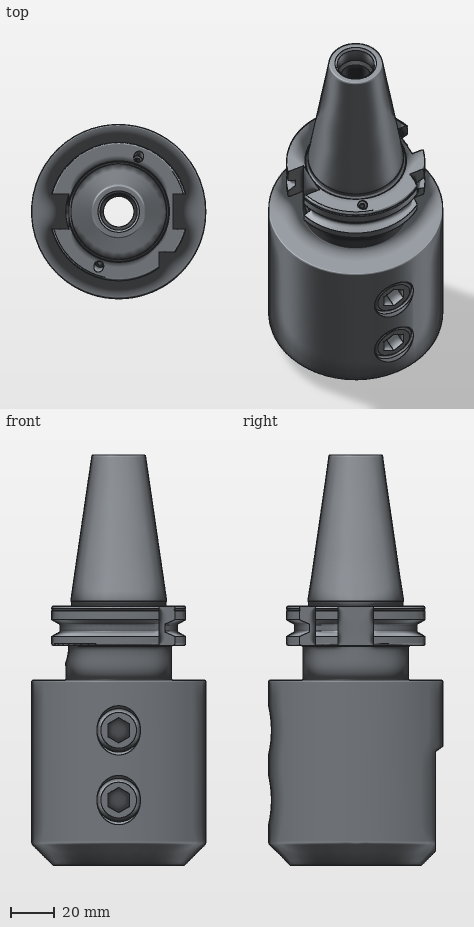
import cadquery as cq
import math

gauge_diameter = 44.45
taper_length = 68.4
taper_ratio = 7 / 24
taper_end_fillet = 1.0

undercut_top = 1.4
undercut_radial_depth = 0.3
undercut_axial_depth = 0.2
undercut_ramp = 0.4
undercut_fillet = 0.6
undercut_outer_diameter = 46.6

flange_diameter = 63.55
flange_top = -1.0
flange_bottom = -19.1
flange_fillet = 1.0
groove_diameter = 56.25
groove_center = -11.1
groove_floor_width = 3.5
groove_flank_angle = 60
groove_fillet = 0.6
ring_groove_top = -2.1
ring_groove_width = 1.2
ring_groove_depth = 0.3

keyway_width = 16.1
left_keyway_floor = 22.8
right_keyway_floor = 25.0
notch_x = 18.5
notch_y = 18.5

neck_diameter = 48.6
neck_fillet = 0.5
body_diameter = 80.0
body_top = -35.0
body_bottom = -120.0
body_edge_fillet = 0.8
nose_chamfer = 10.0
nose_edge_fillet = 2.0
nose_tip_fillet = 1.0

flat_distance = 36.6
flat_top = -67.7
flat_ramp_height = 2.5

bore_diameter = 14.0
counterbore_diameter = 17.0
counterbore_depth = 8.0
counterbore_chamfer = 1.0
counterbore_floor_angle = 45

screw_diameter = 20.0
screw_heights = (-58.0, -90.0)
screw_face = 38.5
screw_chamfer = 1.8
screw_hole_mouth_diameter = 22.6
screw_hex_flats = 10.0
screw_hex_depth = 8.0

port_diameter = 4.4
port_depth = 3.0
port_core_diameter = 2.2
port_core_depth = 6.0
port_circle_radius = 26.8
port_angle = 70
port_tilt = 33


def revolve_profile(points):
    """Solid of revolution about Z from (radius, height) points."""
    return cq.Workplane("XZ").polyline(points).close().revolve(360, (0, 0, 0), (0, 1, 0))


def cylinder(diameter, bottom, top):
    return cq.Workplane("XY").workplane(offset=bottom).circle(diameter / 2).extrude(top - bottom)


def ring_edges(solid, radius, height):
    """Circular edge of a turned solid, picked by radius and height."""
    tolerance = 0.01
    corner = (radius + tolerance, radius + tolerance, height + tolerance)
    opposite = (-radius - tolerance, -radius - tolerance, height - tolerance)
    candidates = solid.edges(cq.selectors.BoxSelector(corner, opposite, boundingbox=True))
    return candidates.filter(lambda edge: edge.geomType() == "CIRCLE" and abs(edge.radius() - radius) < tolerance)


def taper_radius(height):
    return (gauge_diameter - height * taper_ratio) / 2


def make_shank():
    shank = revolve_profile([
        (0, flange_top),
        (taper_radius(undercut_top), flange_top),
        (taper_radius(undercut_top), undercut_top),
        (taper_radius(taper_length), taper_length),
        (0, taper_length),
    ])
    return shank.faces(">Z").edges().fillet(taper_end_fillet)


def make_undercut():
    """Shallow ring cut into both the foot of the taper and the flange face."""
    root = taper_radius(undercut_top) - undercut_radial_depth
    floor = flange_top - undercut_axial_depth
    outer = undercut_outer_diameter / 2
    ring = revolve_profile([
        (taper_radius(undercut_top), undercut_top),
        (root, undercut_top - undercut_ramp),
        (root, floor),
        (outer - undercut_ramp, floor),
        (outer, flange_top),
        (outer, undercut_top),
    ])
    return ring_edges(ring, root, floor).fillet(undercut_fillet)


def make_flange():
    outer = flange_diameter / 2
    floor = groove_diameter / 2
    half_floor = groove_floor_width / 2
    half_mouth = half_floor + (outer - floor) / math.tan(math.radians(groove_flank_angle))
    flange = revolve_profile([
        (0, flange_bottom),
        (outer, flange_bottom),
        (outer, groove_center - half_mouth),
        (floor, groove_center - half_floor),
        (floor, groove_center + half_floor),
        (outer, groove_center + half_mouth),
        (outer, flange_top),
        (0, flange_top),
    ])
    for side in (-1, 1):
        flange = ring_edges(flange, floor, groove_center + side * half_floor).fillet(groove_fillet)
    for height in (flange_top, flange_bottom):
        flange = ring_edges(flange, outer, height).fillet(flange_fillet)
    return flange


def make_ring_groove():
    """Fine V-shaped ring groove around the rim, above the gripper groove."""
    outer = flange_diameter / 2
    return revolve_profile([
        (outer, ring_groove_top),
        (outer - ring_groove_depth, ring_groove_top - ring_groove_width / 2),
        (outer, ring_groove_top - ring_groove_width),
    ])


def make_neck():
    """Neck flared by small fillets into the flange above and the body below."""
    radius = neck_diameter / 2
    inset = neck_fillet * (1 - math.sqrt(0.5))
    profile = (
        cq.Workplane("XZ")
        .moveTo(0, body_top)
        .lineTo(radius + neck_fillet, body_top)
        .threePointArc((radius + inset, body_top + inset), (radius, body_top + neck_fillet))
        .lineTo(radius, flange_bottom - neck_fillet)
        .threePointArc((radius + inset, flange_bottom - inset), (radius + neck_fillet, flange_bottom))
        .lineTo(0, flange_bottom)
        .close()
    )
    return profile.revolve(360, (0, 0, 0), (0, 1, 0))


def make_body():
    outer = body_diameter / 2
    body = revolve_profile([
        (0, body_bottom),
        (outer - nose_chamfer, body_bottom),
        (outer, body_bottom + nose_chamfer),
        (outer, body_top),
        (0, body_top),
    ])
    body = ring_edges(body, outer, body_bottom + nose_chamfer).fillet(nose_edge_fillet)
    body = body.faces("<Z").edges().fillet(nose_tip_fillet)
    return body.faces(">Z").edges().fillet(body_edge_fillet)


def make_keyway(side, floor):
    """Round-bottomed drive slot; side is -1 for -X and +1 for +X."""
    width = keyway_width
    slot = (
        cq.Workplane("YZ")
        .moveTo(-width / 2, flange_top)
        .lineTo(-width / 2, flange_bottom)
        .threePointArc((0, flange_bottom - width / 2), (width / 2, flange_bottom))
        .lineTo(width / 2, flange_top)
        .close()
        .extrude(side * flange_diameter)
    )
    return slot.translate((side * floor, 0, 0))


def make_notch():
    reach = flange_diameter
    height = flange_top - flange_bottom
    return cq.Workplane("XY").box(reach, reach, height, centered=False).translate(
        (notch_x, -notch_y - reach, flange_bottom)
    )


def make_flat():
    outer = body_diameter / 2
    profile = [
        (flat_distance, body_bottom),
        (outer, body_bottom),
        (outer, flat_top + flat_ramp_height),
        (flat_distance, flat_top),
    ]
    return cq.Workplane("YZ").polyline(profile).close().extrude(outer, both=True)


def make_bore():
    mouth_radius = counterbore_diameter / 2 + counterbore_chamfer
    step = (counterbore_diameter - bore_diameter) / 2
    cone_height = step * math.tan(math.radians(counterbore_floor_angle))
    return revolve_profile([
        (0, body_bottom),
        (bore_diameter / 2, body_bottom),
        (bore_diameter / 2, taper_length - counterbore_depth - cone_height),
        (counterbore_diameter / 2, taper_length - counterbore_depth),
        (counterbore_diameter / 2, taper_length - counterbore_chamfer),
        (mouth_radius, taper_length),
        (0, taper_length),
    ])


def make_screw_recess():
    """Space around and above one clamping screw, on the -Y side at Z = 0."""
    outer = body_diameter / 2
    radius = screw_diameter / 2
    mouth = screw_hole_mouth_diameter / 2
    ring = (
        cq.Workplane("XY")
        .polyline([
            (0, -screw_face),
            (radius - screw_chamfer, -screw_face),
            (radius, -screw_face + screw_chamfer),
            (radius, -outer + mouth - radius),
            (mouth, -outer),
            (0, -outer),
        ])
        .close()
        .revolve(360, (0, 0, 0), (0, 1, 0))
    )
    socket = (
        cq.Workplane("XZ", origin=(0, -screw_face, 0))
        .polygon(6, screw_hex_flats, circumscribed=True)
        .extrude(-screw_hex_depth)
    )
    return ring.union(socket)


def make_port(angle):
    """Stepped blind hole in the flange top, leaning inwards, at the given angle about Z."""
    port = cylinder(port_diameter, -port_depth, port_diameter)
    port = port.union(cylinder(port_core_diameter, -port_core_depth, 0))
    port = port.rotate((0, 0, 0), (0, 1, 0), port_tilt)
    port = port.translate((port_circle_radius, 0, flange_top))
    return port.rotate((0, 0, 0), (0, 0, 1), angle)


result = make_shank().union(make_flange())
result = result.union(make_neck())
result = result.union(make_body())
result = result.cut(make_undercut())
result = result.cut(make_ring_groove())
result = result.cut(make_keyway(-1, left_keyway_floor))
result = result.cut(make_keyway(1, right_keyway_floor))
result = result.cut(make_notch())
result = result.cut(make_flat())
result = result.cut(make_bore())
for height in screw_heights:
    result = result.cut(make_screw_recess().translate((0, 0, height)))
for angle in (port_angle, port_angle + 180):
    result = result.cut(make_port(angle))